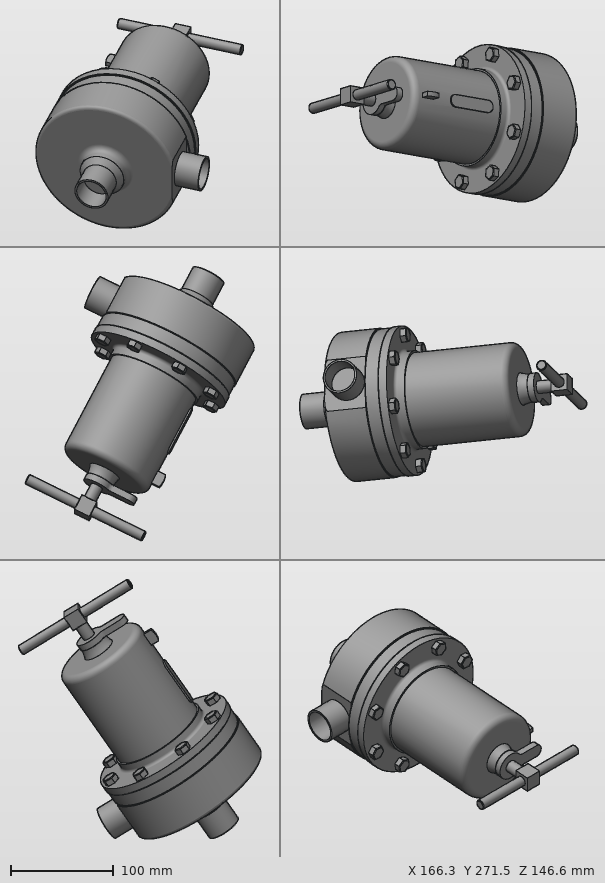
import cadquery as cq
import math


NECK_START = 24.7
NECK_CONE_END = 31.2
BODY_BOTTOM = 42.5
BODY_TOP = 84.7
FLANGE_BOTTOM = 99.0
FLANGE_TOP = 107.5
RING_TOP = 117.5
BONNET_TOP = 222.5
COLLAR_BOTTOM = 232.5
COLLAR_TOP = 239.2
HANDLE_TOP = 271.5

PIPE_RADIUS = 17.0
BORE_RADIUS = 15.2
NECK_RADIUS = 22.5
BODY_RADIUS = 73.3
SPACER_RADIUS = 72.5
JOINT_RADIUS = 71.7
RING_RADIUS = 48.0
BONNET_RADIUS = 46.2
STEM_NECK_RADIUS = 13.8
STEM_NECK_FOOT_RADIUS = 16.0
STEM_NECK_ARC_RADIUS = 27.2
COLLAR_RADIUS = 14.5
STEM_RADIUS = 6.2

JOINT_WIDTH = 0.5

NECK_FILLET = 6.0
BODY_FILLET = 3.5
RING_FILLET = 3.3
BONNET_FILLET = 6.8

PIPE_BORE_DEPTH = 21.5
OUTLET_FLAT_X = 68.5
OUTLET_END_X = 93.0
OUTLET_Y = 66.3

BOLT_COUNT = 8
BOLT_CIRCLE_RADIUS = 64.0
BOLT_ACROSS_FLATS = 13.0
BOLT_HEIGHT = 6.5
BOLT_CHAMFER = 0.8

HANDLE_BLOCK = 16.3
HANDLE_BAR_RADIUS = 5.2
HANDLE_BAR_LENGTH = 127.5
HANDLE_BAR_CHAMFER = 0.8

LUG_END_RADIUS = 6.8
LUG_END_CENTRE_X = -34.0
LUG_ROOT_FILLET = 5.7

TAB_TIP_X = -55.7
TAB_BULGE = 1.0
TAB_BOTTOM = 198.8
TAB_TOP = 212.3
TAB_THICKNESS = 4.5
PAD_FACE_X = -47.5
PAD_BOTTOM = 126.8
PAD_TOP = 178.0
PAD_WIDTH = 12.5

ROOT_OVERLAP = 5.5


def cylinder_along_y(radius, y_start, y_end):
    """Solid cylinder on the valve axis."""
    plane = cq.Plane(origin=(0, y_start, 0), xDir=(1, 0, 0), normal=(0, 1, 0))
    return cq.Workplane(plane).circle(radius).extrude(y_end - y_start)


def cylinder_along_x(radius, x_start, x_end, y):
    """Solid cylinder parallel to X at height y on the axis."""
    return cq.Workplane("YZ", origin=(x_start, y, 0)).circle(radius).extrude(x_end - x_start)


def revolve(outline):
    """Turn a closed outline (radius, station) about the valve axis."""
    return outline.close().revolve(360, (0, 0, 0), (0, 1, 0))


def make_inlet():
    """Inlet pipe with its cone and a collar that flares into the body."""
    return revolve(
        cq.Workplane("XY")
        .moveTo(0, 0)
        .lineTo(PIPE_RADIUS, 0)
        .lineTo(PIPE_RADIUS, NECK_START)
        .lineTo(NECK_RADIUS, NECK_CONE_END)
        .lineTo(NECK_RADIUS, BODY_BOTTOM - NECK_FILLET)
        .tangentArcPoint((NECK_RADIUS + NECK_FILLET, BODY_BOTTOM), relative=False)
        .lineTo(0, BODY_BOTTOM)
    )


def make_body():
    """Round body with a filleted bottom rim and a flat for the outlet."""
    body = cylinder_along_y(BODY_RADIUS, BODY_BOTTOM, BODY_TOP)
    body = body.faces("<Y").edges().fillet(BODY_FILLET)
    height = BODY_TOP - BODY_BOTTOM
    beyond_flat = cq.Workplane("XY").box(
        BODY_RADIUS, height, 2 * BODY_RADIUS, centered=(False, False, True)
    )
    return body.cut(beyond_flat.translate((OUTLET_FLAT_X, BODY_BOTTOM, 0)))


def make_bonnet():
    """Spacer with its joint grooves, flange, base ring, spring bonnet, stem neck and collar."""
    return revolve(
        cq.Workplane("XY")
        .moveTo(0, BODY_TOP)
        .lineTo(JOINT_RADIUS, BODY_TOP)
        .lineTo(JOINT_RADIUS, BODY_TOP + JOINT_WIDTH)
        .lineTo(SPACER_RADIUS, BODY_TOP + JOINT_WIDTH)
        .lineTo(SPACER_RADIUS, FLANGE_BOTTOM - JOINT_WIDTH)
        .lineTo(JOINT_RADIUS, FLANGE_BOTTOM - JOINT_WIDTH)
        .lineTo(JOINT_RADIUS, FLANGE_BOTTOM)
        .lineTo(BODY_RADIUS, FLANGE_BOTTOM)
        .lineTo(BODY_RADIUS, FLANGE_TOP)
        .lineTo(RING_RADIUS + RING_FILLET, FLANGE_TOP)
        .radiusArc((RING_RADIUS, FLANGE_TOP + RING_FILLET), RING_FILLET)
        .lineTo(RING_RADIUS, RING_TOP)
        .lineTo(BONNET_RADIUS, RING_TOP)
        .lineTo(BONNET_RADIUS, BONNET_TOP - BONNET_FILLET)
        .tangentArcPoint((BONNET_RADIUS - BONNET_FILLET, BONNET_TOP), relative=False)
        .lineTo(STEM_NECK_FOOT_RADIUS, BONNET_TOP)
        .radiusArc((STEM_NECK_RADIUS, COLLAR_BOTTOM), STEM_NECK_ARC_RADIUS)
        .lineTo(COLLAR_RADIUS, COLLAR_BOTTOM)
        .lineTo(COLLAR_RADIUS, COLLAR_TOP)
        .lineTo(0, COLLAR_TOP)
    )


def make_outlet():
    """Outlet pipe, rooted a little inside the body."""
    root_x = OUTLET_FLAT_X - ROOT_OVERLAP
    return cylinder_along_x(PIPE_RADIUS, root_x, OUTLET_END_X, OUTLET_Y)


def make_bolt_head(angle):
    """Hexagonal head with a flat facing the valve axis and a chamfered top rim."""
    corner_circle = BOLT_ACROSS_FLATS / math.cos(math.radians(30))
    plane = cq.Plane(origin=(0, FLANGE_TOP, 0), xDir=(1, 0, 0), normal=(0, 1, 0))
    head = (
        cq.Workplane(plane)
        .polygon(6, corner_circle)
        .extrude(BOLT_HEIGHT)
        .faces(">Y")
        .edges()
        .chamfer(BOLT_CHAMFER)
    )
    flat_to_axis = 30
    head = head.rotate((0, 0, 0), (0, 1, 0), flat_to_axis)
    return head.translate((BOLT_CIRCLE_RADIUS, 0, 0)).rotate((0, 0, 0), (0, 1, 0), angle)


def make_handle():
    """Stem with a square block and a cross bar along X."""
    block_centre = HANDLE_TOP - HANDLE_BLOCK / 2
    half_bar = HANDLE_BAR_LENGTH / 2
    stem = cylinder_along_y(STEM_RADIUS, COLLAR_BOTTOM, block_centre)
    block = cq.Workplane("XY").box(HANDLE_BLOCK, HANDLE_BLOCK, HANDLE_BLOCK)
    bar = cylinder_along_x(HANDLE_BAR_RADIUS, -half_bar, half_bar, block_centre)
    bar = bar.faces("<X or >X").edges().chamfer(HANDLE_BAR_CHAMFER)
    return stem.union(block.translate((0, block_centre, 0))).union(bar)


def make_lug():
    """Round-ended lug that blends tangentially into the collar on both sides."""
    fillet_z = LUG_END_RADIUS + LUG_ROOT_FILLET
    centre_distance = COLLAR_RADIUS + LUG_ROOT_FILLET
    fillet_x = -math.sqrt(centre_distance**2 - fillet_z**2)
    touch_x = fillet_x * COLLAR_RADIUS / centre_distance
    touch_z = fillet_z * COLLAR_RADIUS / centre_distance
    lug_tip = (LUG_END_CENTRE_X - LUG_END_RADIUS, 0)
    plane = cq.Plane(origin=(0, COLLAR_TOP, 0), xDir=(1, 0, 0), normal=(0, -1, 0))
    return (
        cq.Workplane(plane)
        .moveTo(0, touch_z)
        .lineTo(touch_x, touch_z)
        .radiusArc((fillet_x, LUG_END_RADIUS), LUG_ROOT_FILLET)
        .lineTo(LUG_END_CENTRE_X, LUG_END_RADIUS)
        .threePointArc(lug_tip, (LUG_END_CENTRE_X, -LUG_END_RADIUS))
        .lineTo(fillet_x, -LUG_END_RADIUS)
        .radiusArc((touch_x, -touch_z), LUG_ROOT_FILLET)
        .lineTo(0, -touch_z)
        .close()
        .extrude(COLLAR_TOP - COLLAR_BOTTOM)
    )


def make_tab():
    """Thin tab with a bulged outer end, rooted inside the bonnet."""
    root_x = ROOT_OVERLAP - BONNET_RADIUS
    corner_x = TAB_TIP_X + TAB_BULGE
    middle_y = (TAB_BOTTOM + TAB_TOP) / 2
    return (
        cq.Workplane("XY")
        .moveTo(root_x, TAB_BOTTOM)
        .lineTo(corner_x, TAB_BOTTOM)
        .threePointArc((TAB_TIP_X, middle_y), (corner_x, TAB_TOP))
        .lineTo(root_x, TAB_TOP)
        .close()
        .extrude(TAB_THICKNESS / 2, both=True)
    )


def make_pad():
    """Raised flat pad with round ends, rooted inside the bonnet."""
    middle_y = (PAD_BOTTOM + PAD_TOP) / 2
    return (
        cq.Workplane("YZ", origin=(PAD_FACE_X, middle_y, 0))
        .slot2D(PAD_TOP - PAD_BOTTOM, PAD_WIDTH)
        .extrude(ROOT_OVERLAP)
    )


features = [
    make_body(),
    make_bonnet(),
    make_outlet(),
    make_handle(),
    make_lug(),
    make_tab(),
    make_pad(),
]
bolt_pitch = 360 / BOLT_COUNT
for index in range(BOLT_COUNT):
    features.append(make_bolt_head((index + 0.5) * bolt_pitch))

result = make_inlet()
for feature in features:
    result = result.union(feature)

result = result.cut(cylinder_along_y(BORE_RADIUS, 0, PIPE_BORE_DEPTH))
outlet_bore_start = OUTLET_END_X - PIPE_BORE_DEPTH
result = result.cut(cylinder_along_x(BORE_RADIUS, outlet_bore_start, OUTLET_END_X, OUTLET_Y))